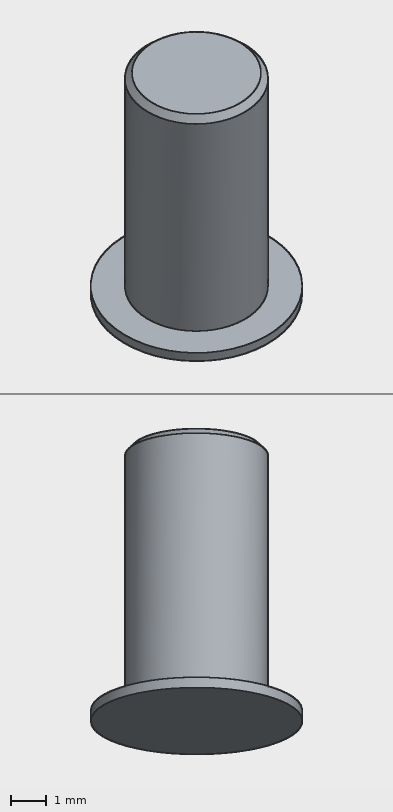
import cadquery as cq

total_height = 8.0
flange_diameter = 5.9
flange_thickness = 0.3
pin_diameter = 4.0
tip_chamfer = 0.2

flange = cq.Workplane("XY").circle(flange_diameter / 2).extrude(flange_thickness)

pin = (
    cq.Workplane("XY")
    .circle(pin_diameter / 2)
    .extrude(total_height)
    .faces(">Z")
    .chamfer(tip_chamfer)
)

result = flange.union(pin)